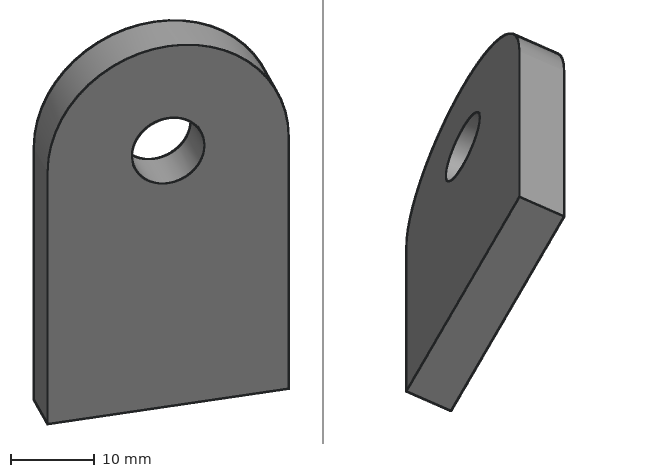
import cadquery as cq

thickness = 6.0
width = 30.0
height = 50.0
hole_diameter = 9.0
hole_height = 35.5

half_width = width / 2
shoulder_height = height - half_width


def make_plate():
    """Upright plate with a flat base and a semicircular top."""
    return (
        cq.Workplane("YZ")
        .moveTo(-half_width, 0)
        .lineTo(half_width, 0)
        .lineTo(half_width, shoulder_height)
        .threePointArc((0, height), (-half_width, shoulder_height))
        .close()
        .extrude(thickness)
    )


def make_hole():
    """Cylinder for the pin hole through the full thickness."""
    return (
        cq.Workplane("YZ")
        .center(0, hole_height)
        .circle(hole_diameter / 2)
        .extrude(thickness)
    )


result = make_plate().cut(make_hole())